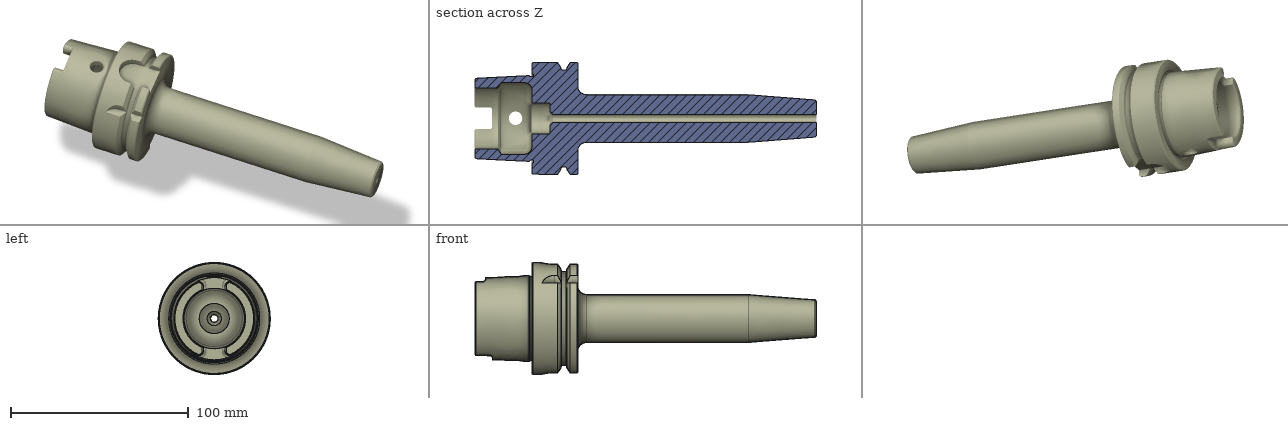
import cadquery as cq
import math

TAPER_LENGTH = 32.0
REACH = 160.0
FLANGE_DIAMETER = 63.0
FLANGE_WIDTH = 26.0
FLANGE_CHAMFER = 0.6

TAPER_GAUGE_DIAMETER = 48.04
TAPER_GAUGE_X = -6.3
TAPER_RATIO = 0.1
TAPER_LARGE_X = -2.2
RELIEF_START_X = -1.5
RELIEF_DEPTH = 0.6
RECESS_DIAMETER = 51.2
RECESS_DEPTH = 0.8
END_CHAMFER = 0.6

GROOVE_DIAMETER = 55.0
GROOVE_CENTER_X = 18.0
GROOVE_FLOOR_WIDTH = 2.6
GROOVE_WALL_TOP_WIDTH = 3.4
GROOVE_MOUTH_WIDTH = 7.0
GROOVE_WALL_HEIGHT = 1.4

SHANK_DIAMETER = 27.0
NECK_RADIUS = 5.0
NECK_BASE_DIAMETER = 34.0
NOSE_DIAMETER = 21.0
NOSE_LENGTH = 38.4
NOSE_CHAMFER = 0.8

MOUTH_DIAMETER = 34.0
MOUTH_DEPTH = 13.0
CAVITY_DIAMETER = 40.0
CAVITY_SLOPE_ANGLE = 60.0
CAVITY_FLOOR_X = 0.0
CAVITY_FLOOR_RADIUS = 4.2

TUBE_BORE_DIAMETER = 16.92
TUBE_BORE_DEPTH = 10.0
COOLANT_SINK_DIAMETER = 8.0
COOLANT_DIAMETER = 4.13

ACCESS_DIAMETER = 7.5
ACCESS_X = -9.0
ACCESS_CHAMFER = 0.6

DRIVE_WIDTH = 12.3
DRIVE_DEPTH_TOP = 6.0
DRIVE_DEPTH_BOTTOM = 9.8
DRIVE_CORNER_RADIUS = 1.5
DRIVE_LIP_RADIUS = 2.5

KEYWAY_WIDTH = 15.5
KEYWAY_FLOOR = 26.5
KEYWAY_END_X = 4.9
NOTCH_FLOOR_Z = 19.9
NOTCH_WALL_Y = -20.2


def taper_radius(x):
    """Outer radius of the hollow taper at X = x."""
    return (TAPER_GAUGE_DIAMETER + TAPER_RATIO * (x - TAPER_GAUGE_X)) / 2


flange_radius = FLANGE_DIAMETER / 2
shank_radius = SHANK_DIAMETER / 2
end_x = -TAPER_LENGTH
end_radius = taper_radius(end_x)


def revolve_profile(profile):
    """Turn a closed half profile, drawn in the XY plane, around the X axis."""
    return profile.close().revolve(360, (0, 0, 0), (1, 0, 0))


def turned_body():
    """Outside of the taper, flange, neck, shank and conical nose as one revolved solid."""
    land_radius = taper_radius(TAPER_LARGE_X)
    relief_radius = land_radius - RELIEF_DEPTH
    recess_radius = RECESS_DIAMETER / 2
    groove_radius = GROOVE_DIAMETER / 2
    neck_base_radius = NECK_BASE_DIAMETER / 2
    neck_center_radius = shank_radius + NECK_RADIUS
    neck_angle = math.acos((neck_center_radius - neck_base_radius) / NECK_RADIUS)
    neck_end_x = FLANGE_WIDTH + NECK_RADIUS * math.sin(neck_angle)
    neck_middle = (
        neck_end_x - NECK_RADIUS * math.sin(neck_angle / 2),
        neck_center_radius - NECK_RADIUS * math.cos(neck_angle / 2),
    )
    nose_radius = NOSE_DIAMETER / 2
    nose_slope = (shank_radius - nose_radius) / NOSE_LENGTH
    profile = (
        cq.Workplane("XY")
        .moveTo(end_x, 0)
        .lineTo(end_x, end_radius - END_CHAMFER)
        .lineTo(end_x + END_CHAMFER, end_radius)
        .lineTo(TAPER_LARGE_X, land_radius)
        .lineTo(RELIEF_START_X, land_radius)
        .lineTo(RELIEF_START_X + RELIEF_DEPTH, relief_radius)
        .lineTo(RECESS_DEPTH, relief_radius)
        .lineTo(RECESS_DEPTH, recess_radius - RECESS_DEPTH)
        .lineTo(0, recess_radius)
        .lineTo(0, flange_radius - FLANGE_CHAMFER)
        .lineTo(FLANGE_CHAMFER, flange_radius)
        .lineTo(GROOVE_CENTER_X - GROOVE_MOUTH_WIDTH / 2, flange_radius)
        .lineTo(GROOVE_CENTER_X - GROOVE_WALL_TOP_WIDTH / 2, groove_radius + GROOVE_WALL_HEIGHT)
        .lineTo(GROOVE_CENTER_X - GROOVE_FLOOR_WIDTH / 2, groove_radius)
        .lineTo(GROOVE_CENTER_X + GROOVE_FLOOR_WIDTH / 2, groove_radius)
        .lineTo(GROOVE_CENTER_X + GROOVE_WALL_TOP_WIDTH / 2, groove_radius + GROOVE_WALL_HEIGHT)
        .lineTo(GROOVE_CENTER_X + GROOVE_MOUTH_WIDTH / 2, flange_radius)
        .lineTo(FLANGE_WIDTH - FLANGE_CHAMFER, flange_radius)
        .lineTo(FLANGE_WIDTH, flange_radius - FLANGE_CHAMFER)
        .lineTo(FLANGE_WIDTH, neck_base_radius)
        .threePointArc(neck_middle, (neck_end_x, shank_radius))
        .lineTo(REACH - NOSE_LENGTH, shank_radius)
        .lineTo(REACH - NOSE_CHAMFER, nose_radius + nose_slope * NOSE_CHAMFER)
        .lineTo(REACH, nose_radius - NOSE_CHAMFER)
        .lineTo(REACH, 0)
    )
    return revolve_profile(profile)


def hollow():
    """Undercut cavity with a narrower mouth and a rounded floor corner."""
    mouth_radius = MOUTH_DIAMETER / 2
    cavity_radius = CAVITY_DIAMETER / 2
    mouth_x = end_x + MOUTH_DEPTH
    slope_run = (cavity_radius - mouth_radius) / math.tan(math.radians(CAVITY_SLOPE_ANGLE))
    corner_inset = CAVITY_FLOOR_RADIUS * (1 - math.sqrt(0.5))
    profile = (
        cq.Workplane("XY")
        .moveTo(end_x, 0)
        .lineTo(end_x, mouth_radius + END_CHAMFER)
        .lineTo(end_x + END_CHAMFER, mouth_radius)
        .lineTo(mouth_x, mouth_radius)
        .lineTo(mouth_x + slope_run, cavity_radius)
        .lineTo(CAVITY_FLOOR_X - CAVITY_FLOOR_RADIUS, cavity_radius)
        .threePointArc(
            (CAVITY_FLOOR_X - corner_inset, cavity_radius - corner_inset),
            (CAVITY_FLOOR_X, cavity_radius - CAVITY_FLOOR_RADIUS),
        )
        .lineTo(CAVITY_FLOOR_X, 0)
    )
    return revolve_profile(profile)


def coolant_passage():
    """Tube bore in the cavity floor, then a cone down to a hole through the shank."""
    bore_radius = TUBE_BORE_DIAMETER / 2
    sink_radius = COOLANT_SINK_DIAMETER / 2
    hole_radius = COOLANT_DIAMETER / 2
    bore_end_x = CAVITY_FLOOR_X + TUBE_BORE_DEPTH
    profile = (
        cq.Workplane("XY")
        .moveTo(CAVITY_FLOOR_X, 0)
        .lineTo(CAVITY_FLOOR_X, bore_radius)
        .lineTo(bore_end_x, bore_radius)
        .lineTo(bore_end_x, sink_radius)
        .lineTo(bore_end_x + sink_radius - hole_radius, hole_radius)
        .lineTo(REACH, hole_radius)
        .lineTo(REACH, 0)
    )
    return revolve_profile(profile)


def drive_slot_outline(x, growth):
    """Slot outline at X = x, its walls rounded outward to meet the outside; growth widens it evenly."""
    lip_radius = DRIVE_LIP_RADIUS - growth
    half_width = DRIVE_WIDTH / 2 + growth
    center_y = DRIVE_WIDTH / 2 + DRIVE_LIP_RADIUS
    center_z = math.sqrt((end_radius - DRIVE_LIP_RADIUS) ** 2 - center_y**2)
    tangent_angle = math.atan2(center_z, center_y)
    middle_angle = (math.pi + tangent_angle) / 2
    lip_y = center_y + lip_radius * math.cos(tangent_angle)
    lip_z = center_z + lip_radius * math.sin(tangent_angle)
    middle_y = center_y + lip_radius * math.cos(middle_angle)
    middle_z = center_z + lip_radius * math.sin(middle_angle)
    return (
        cq.Workplane("YZ", origin=(x, 0, 0))
        .moveTo(-half_width, 0)
        .lineTo(half_width, 0)
        .lineTo(half_width, center_z)
        .threePointArc((middle_y, middle_z), (lip_y, lip_z))
        .lineTo(lip_y, flange_radius)
        .lineTo(-lip_y, flange_radius)
        .lineTo(-lip_y, lip_z)
        .threePointArc((-middle_y, middle_z), (-half_width, center_z))
        .close()
    )


def drive_slot(depth, side):
    """Cutter for a slot through one wall of the taper end, with a chamfered mouth and rounded corners."""
    slot = drive_slot_outline(end_x, 0).extrude(depth)
    slot = slot.faces(">X").edges("not(|Y)").fillet(DRIVE_CORNER_RADIUS)
    mouth = cq.Solid.makeLoft(
        [
            drive_slot_outline(end_x, END_CHAMFER).val(),
            drive_slot_outline(end_x + END_CHAMFER, 0).val(),
        ],
        True,
    )
    cutter = slot.union(cq.Workplane(mouth))
    if side < 0:
        cutter = cutter.rotate((0, 0, 0), (1, 0, 0), 180)
    return cutter


def flange_mill_cut(center_y, floor_z):
    """Vertical milled slot with a round end, open toward the shank."""
    radius = KEYWAY_WIDTH / 2
    center_x = KEYWAY_END_X + radius
    run = FLANGE_WIDTH - center_x
    round_end = cq.Workplane("XY", origin=(center_x, center_y, floor_z)).circle(radius).extrude(flange_radius)
    straight = cq.Workplane("XY", origin=(center_x + run / 2, center_y, floor_z)).rect(run, KEYWAY_WIDTH)
    return round_end.union(straight.extrude(flange_radius))


def access_hole():
    """Hole through both taper walls with a conical mouth at each outer end."""
    hole_radius = ACCESS_DIAMETER / 2
    cone_start_z = taper_radius(ACCESS_X) - ACCESS_CHAMFER
    cone_height = 2 * ACCESS_CHAMFER
    start_plane = cq.Workplane("XY", origin=(ACCESS_X, 0, -cone_start_z))
    cutter = start_plane.circle(hole_radius).extrude(2 * cone_start_z)
    for side in (1, -1):
        cone = cq.Solid.makeCone(
            hole_radius,
            hole_radius + cone_height,
            cone_height,
            pnt=cq.Vector(ACCESS_X, 0, side * cone_start_z),
            dir=cq.Vector(0, 0, side),
        )
        cutter = cutter.union(cq.Workplane(cone))
    return cutter


upper_keyway = flange_mill_cut(0, KEYWAY_FLOOR)
lower_keyway = upper_keyway.rotate((0, 0, 0), (1, 0, 0), 180)
index_notch = flange_mill_cut(NOTCH_WALL_Y - KEYWAY_WIDTH / 2, NOTCH_FLOOR_Z)

result = turned_body().cut(hollow()).cut(coolant_passage())
result = result.cut(drive_slot(DRIVE_DEPTH_TOP, 1)).cut(drive_slot(DRIVE_DEPTH_BOTTOM, -1))
result = result.cut(access_hole())
result = result.cut(upper_keyway).cut(lower_keyway).cut(index_notch)